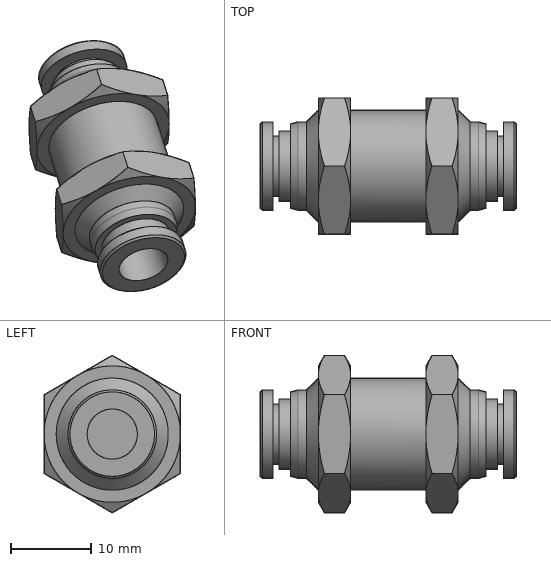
import cadquery as cq
import math

LENGTH = 31.9
HALF_LENGTH = LENGTH / 2

collar_end = 1.6
neck_end = 2.33
sleeve_end = 3.75
taper_end = 4.72
shoulder_end = 5.75
nut_start = 7.25
nut_width = 4.02

collar_radius = 5.52
collar_chamfer = 0.25
neck_radius = 3.75
sleeve_radius = 4.4
taper_radius = 5.25
shoulder_radius = collar_radius
body_radius = 7.0

socket_radius = 3.13
socket_depth = 12.75

across_flats = 17.0
nut_sides = 6
corner_radius = across_flats / 2 / math.cos(math.pi / nut_sides)
nut_face_radius = across_flats / 2
nut_chamfer_angle = 30.0


def turned_half():
    """Revolve the stepped outline from the left end to the middle plane."""
    outline = [
        (0, 0),
        (0, collar_radius - collar_chamfer),
        (collar_chamfer, collar_radius),
        (collar_end, collar_radius),
        (collar_end, neck_radius),
        (neck_end, neck_radius),
        (neck_end, sleeve_radius),
        (sleeve_end, sleeve_radius),
        (sleeve_end, taper_radius),
        (taper_end, shoulder_radius),
        (shoulder_end, shoulder_radius),
        (nut_start, body_radius),
        (HALF_LENGTH, body_radius),
        (HALF_LENGTH, 0),
    ]
    turned = cq.Workplane("XY").polyline(outline).close().revolve(360, (0, 0, 0), (1, 0, 0))
    return turned.translate((-HALF_LENGTH, 0, 0))


def hex_nut():
    """Hexagon with corners on +Z and -Z, its corners turned down on both faces."""
    chamfer_length = (corner_radius - nut_face_radius) * math.tan(math.radians(nut_chamfer_angle))
    corner_angles = [2 * math.pi * i / nut_sides for i in range(nut_sides)]
    corners = [(corner_radius * math.sin(angle), corner_radius * math.cos(angle)) for angle in corner_angles]
    prism = cq.Workplane("YZ").polyline(corners).close().extrude(nut_width)
    envelope_outline = [
        (0, 0),
        (0, nut_face_radius),
        (chamfer_length, corner_radius),
        (nut_width - chamfer_length, corner_radius),
        (nut_width, nut_face_radius),
        (nut_width, 0),
    ]
    envelope = cq.Workplane("XY").polyline(envelope_outline).close().revolve(360, (0, 0, 0), (1, 0, 0))
    return prism.intersect(envelope).translate((nut_start - HALF_LENGTH, 0, 0))


def tube_socket():
    """Cylinder that bores the blind socket into the left end."""
    return cq.Workplane("YZ", origin=(-HALF_LENGTH, 0, 0)).circle(socket_radius).extrude(socket_depth)


left_half = turned_half().union(hex_nut()).cut(tube_socket())
result = left_half.union(left_half.mirror("YZ"))